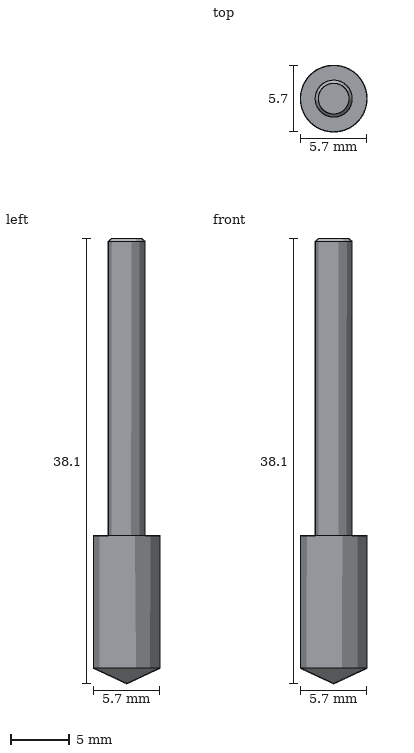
import cadquery as cq

total_length = 38.1
head_diameter = 5.7
head_length = 12.7
tip_height = 1.35
shank_diameter = 3.15
shank_chamfer = 0.25

head_radius = head_diameter / 2
shank_length = total_length - head_length


def make_head():
    """Cylindrical head with a flat top and a conical point at the bottom."""
    half_profile = (
        cq.Workplane("XZ")
        .moveTo(0, 0)
        .lineTo(head_radius, tip_height)
        .lineTo(head_radius, head_length)
        .lineTo(0, head_length)
        .close()
    )
    return half_profile.revolve(360, (0, 0, 0), (0, 1, 0))


def make_shank():
    """Round shank standing on the head, chamfered at its free end."""
    return (
        cq.Workplane("XY")
        .workplane(offset=head_length)
        .circle(shank_diameter / 2)
        .extrude(shank_length)
        .faces(">Z")
        .edges()
        .chamfer(shank_chamfer)
    )


head = make_head()
shank = make_shank()

result = cq.Compound.makeCompound([head.val(), shank.val()])